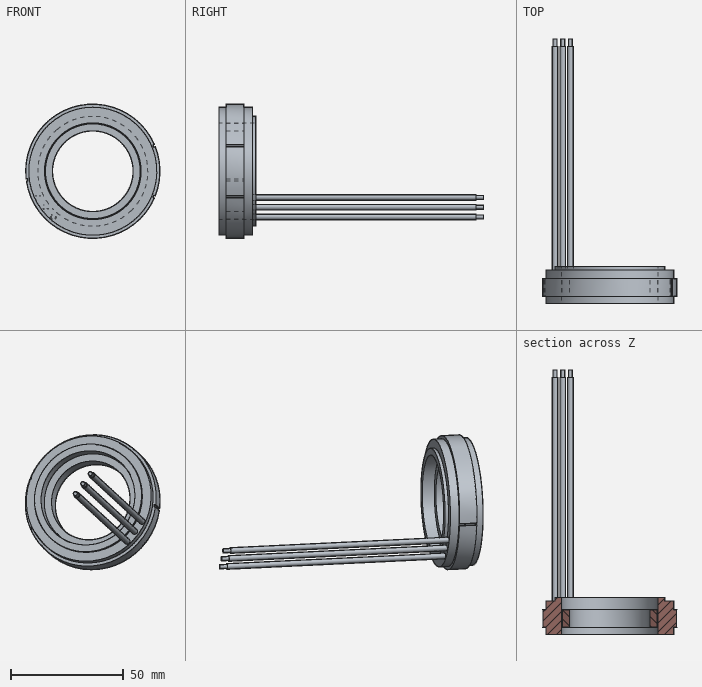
import cadquery as cq


total_length = 118.0
band_radius = 30.0
body_radius = 28.5
boss_radius = 24.5
stator_bore_radius = 21.5
band_front = 3.2
band_length = 7.9
body_length = 15.0
boss_length = 1.5

groove_angles = (22.5, -22.5, 187.5)
groove_width = 1.0
groove_depth = 0.7

wire_radius = 1.3
core_radius = 1.0
bare_length = 3.3
wire_count = 3
middle_wire_x = -21.0
middle_wire_z = -16.0
wire_pitch_x = 3.4
wire_pitch_z = -4.4

rotor_radius = 21.2
rotor_bore_radius = 17.9


def rod(radius, length, start_y, x=0.0, z=0.0):
    """Solid cylinder along +Y, starting at start_y."""
    axis = cq.Vector(0, 1, 0)
    return cq.Workplane(obj=cq.Solid.makeCylinder(radius, length, cq.Vector(x, start_y, z), axis))


def make_groove(angle):
    """Cutter for one groove, which runs the full width of the band."""
    return (
        cq.Workplane("XY")
        .box(2 * groove_depth, band_length, groove_width)
        .translate((band_radius, band_front + band_length / 2, 0))
        .rotate((0, 0, 0), (0, -1, 0), angle)
    )


def make_wire(x, z):
    """Insulated lead with a bare end, rooted on the rear face of the body."""
    bare_start = total_length - bare_length
    insulation = rod(wire_radius, bare_start - body_length, body_length, x, z)
    core = rod(core_radius, bare_length, bare_start, x, z)
    return insulation.union(core)


def make_stator():
    """Stepped ring with grooves and its attached lead wires."""
    stator = rod(body_radius, body_length, 0)
    stator = stator.union(rod(band_radius, band_length, band_front))
    stator = stator.union(rod(boss_radius, boss_length, body_length))
    stator = stator.cut(rod(stator_bore_radius, body_length + boss_length, 0))
    for angle in groove_angles:
        stator = stator.cut(make_groove(angle))
    for index in range(wire_count):
        step = index - (wire_count - 1) / 2
        x = middle_wire_x + step * wire_pitch_x
        z = middle_wire_z + step * wire_pitch_z
        stator = stator.union(make_wire(x, z))
    return stator


def make_rotor():
    """Plain ring inside the stator bore, level with the band."""
    rotor = rod(rotor_radius, band_length, band_front)
    return rotor.cut(rod(rotor_bore_radius, band_length, band_front))


stator = make_stator()
rotor = make_rotor()

result = cq.Compound.makeCompound([stator.val(), rotor.val()])